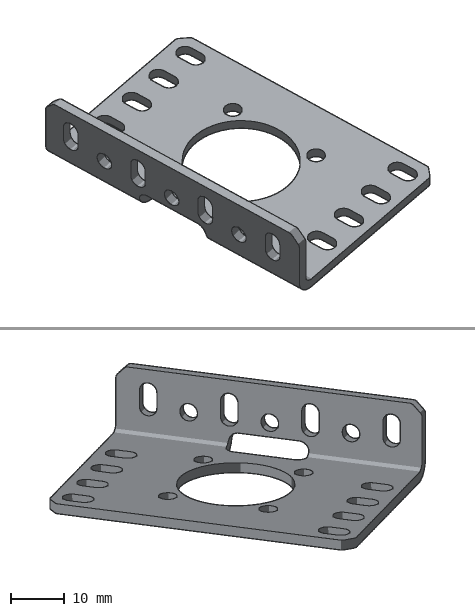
import cadquery as cq

WIDTH = 60.4
DEPTH = 41.0
HEIGHT = 15.0
THICKNESS = 2.0
BEND_INNER_RADIUS = 1.65
BEND_OUTER_RADIUS = BEND_INNER_RADIUS + THICKNESS

CORNER_CHAMFER = 2.0
CORNER_ROUNDING = 1.0

FIXING_DIAMETER = 3.45

FLANGE_PITCH = 16.0
FLANGE_PATTERN_X = -0.2
FLANGE_SLOT_LENGTH = 6.5
FLANGE_SLOTS = 4
FLANGE_HOLES = 3
FLANGE_HOLE_Z = 7.5
FLANGE_SLOT_Z = FLANGE_HOLE_Z + (FLANGE_SLOT_LENGTH - FIXING_DIAMETER) / 2

BASE_SLOT_LENGTH = 6.0
BASE_SLOT_PITCH = FLANGE_PITCH / 2
BASE_SLOTS_PER_SIDE = 4
BASE_SLOT_X = 25.25
BASE_SLOT_TO_BACK_EDGE = 4.0

BORE_Y = DEPTH / 2
BORE_DIAMETER = 22.0
BOLT_SPACING = 19.8

RELIEF_WIDTH = 15.9
RELIEF_REACH_BASE = 4.95
RELIEF_REACH_FLANGE = 4.6
RELIEF_CORNER_RADIUS = 2.0


def evenly_spaced(count, pitch):
    """Positions of count items spaced by pitch and centred on zero."""
    return [(i - (count - 1) / 2) * pitch for i in range(count)]


def leg_outline(workplane, length):
    """Plate outline from the bend to its free edge, with chamfered corners."""
    half_width = WIDTH / 2
    return (
        workplane.moveTo(-half_width, 0)
        .lineTo(half_width, 0)
        .lineTo(half_width, length - CORNER_CHAMFER)
        .lineTo(half_width - CORNER_CHAMFER, length)
        .lineTo(-half_width + CORNER_CHAMFER, length)
        .lineTo(-half_width, length - CORNER_CHAMFER)
        .close()
    )


def rounded_leg(workplane, length):
    """Plate whose chamfered free corners are softened at both ends of each chamfer."""
    plate = leg_outline(workplane, length).extrude(THICKNESS)
    normal = workplane.plane.zDir
    toward_bend = workplane.plane.yDir * -1
    edges_across_sheet = cq.selectors.ParallelDirSelector(normal)
    bend_edges = cq.selectors.DirectionMinMaxSelector(toward_bend, True)
    free_edges = plate.edges(cq.selectors.SubtractSelector(edges_across_sheet, bend_edges))
    return free_edges.fillet(CORNER_ROUNDING)


def bent_sheet():
    """L-shaped sheet: flat base, rounded bend and upright flange."""
    base = rounded_leg(
        cq.Workplane("XY", origin=(0, BEND_OUTER_RADIUS, 0)),
        DEPTH - BEND_OUTER_RADIUS,
    )
    flange = rounded_leg(
        cq.Workplane("XZ", origin=(0, THICKNESS, BEND_OUTER_RADIUS)),
        HEIGHT - BEND_OUTER_RADIUS,
    )
    bend = (
        cq.Workplane("YZ", origin=(-WIDTH / 2, 0, 0))
        .moveTo(BEND_OUTER_RADIUS, 0)
        .radiusArc((0, BEND_OUTER_RADIUS), BEND_OUTER_RADIUS)
        .lineTo(THICKNESS, BEND_OUTER_RADIUS)
        .radiusArc((BEND_OUTER_RADIUS, THICKNESS), -BEND_INNER_RADIUS)
        .close()
        .extrude(WIDTH)
    )
    return base.union(bend).union(flange)


def base_cutters():
    """Tools for the large bore, its bolt holes and the side slots."""
    rows = evenly_spaced(BASE_SLOTS_PER_SIDE, BASE_SLOT_PITCH)
    rows_center_y = DEPTH - BASE_SLOT_TO_BACK_EDGE - rows[-1]
    slot_points = [(x, rows_center_y + row) for x in (-BASE_SLOT_X, BASE_SLOT_X) for row in rows]
    plane = cq.Workplane("XY")
    bore = plane.center(0, BORE_Y).circle(BORE_DIAMETER / 2).extrude(THICKNESS)
    bolts = (
        plane.center(0, BORE_Y)
        .rect(BOLT_SPACING, BOLT_SPACING, forConstruction=True)
        .vertices()
        .circle(FIXING_DIAMETER / 2)
        .extrude(THICKNESS)
    )
    slots = plane.pushPoints(slot_points).slot2D(BASE_SLOT_LENGTH, FIXING_DIAMETER).extrude(THICKNESS)
    return [bore, bolts, slots]


def flange_cutters():
    """Tools for the upright slots and the round holes between them."""
    plane = cq.Workplane("XZ", origin=(FLANGE_PATTERN_X, THICKNESS, 0))
    slots = (
        plane.pushPoints([(x, FLANGE_SLOT_Z) for x in evenly_spaced(FLANGE_SLOTS, FLANGE_PITCH)])
        .slot2D(FLANGE_SLOT_LENGTH, FIXING_DIAMETER, 90)
        .extrude(THICKNESS)
    )
    holes = (
        plane.pushPoints([(x, FLANGE_HOLE_Z) for x in evenly_spaced(FLANGE_HOLES, FLANGE_PITCH)])
        .circle(FIXING_DIAMETER / 2)
        .extrude(THICKNESS)
    )
    return [slots, holes]


def relief_cutters():
    """Tools for the window that runs from the base through the bend into the flange."""
    base_tool_height = RELIEF_REACH_FLANGE - RELIEF_CORNER_RADIUS
    flange_tool_depth = RELIEF_REACH_BASE - RELIEF_CORNER_RADIUS
    base_tool = (
        cq.Workplane("XY")
        .rect(RELIEF_WIDTH, 2 * RELIEF_REACH_BASE)
        .extrude(base_tool_height)
        .edges("|Z")
        .fillet(RELIEF_CORNER_RADIUS)
    )
    flange_tool = (
        cq.Workplane("XZ", origin=(0, flange_tool_depth, 0))
        .rect(RELIEF_WIDTH, 2 * RELIEF_REACH_FLANGE)
        .extrude(flange_tool_depth)
        .edges("|Y")
        .fillet(RELIEF_CORNER_RADIUS)
    )
    return [base_tool, flange_tool]


result = bent_sheet()
for cutter in base_cutters() + flange_cutters() + relief_cutters():
    result = result.cut(cutter)